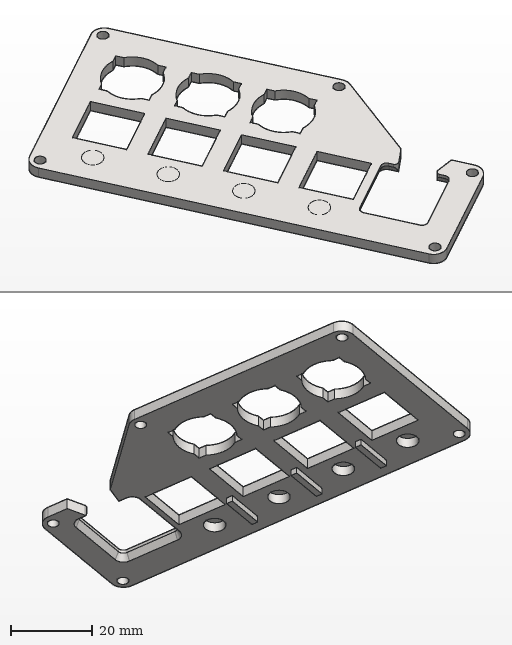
import cadquery as cq

length = 108.2
width = 54.7
thickness = 3.0
corner_radius = 3.5
arm_height = 34.9
diagonal_start_x = 65.3

cutout_left = 83.1
cutout_right = 100.7
cutout_bottom = 9.5
cutout_top = 28.9
cutout_radius = 1.5
mouth_left_outer = 85.8
mouth_left_inner = 87.1
mouth_right_inner = 96.4
mouth_right_outer = 98.9
lip_radius = 1.0
flare_height = 2.1
flare_offset = 1.0

hole_diameter = 2.9
corner_hole_inset = 2.9
top_hole_x = 64.0
top_hole_y = 52.0

column_pitch = 19.6
first_column_x = 14.8
lower_columns = 4
upper_columns = 3
lower_row_y = 20.4
upper_row_y = 39.0
square_opening = 14.1
round_opening_diameter = 15.7
round_opening_square = 13.0

pocket_y = 8.1
pocket_diameter = 5.5
pocket_skin = 0.26

rib_height = 1.7
rib_width = 1.7
rib_front_y = 4.8
rib_back_y = 15.4

column_xs = [first_column_x + i * column_pitch for i in range(lower_columns)]
lower_centers = [(x, lower_row_y) for x in column_xs]
upper_centers = [(x, upper_row_y) for x in column_xs[:upper_columns]]


def fillet_upright_edges(body, points, radius):
    """Round the vertical edges that stand at the given XY points."""
    for x, y in points:
        selector = cq.selectors.NearestToPointSelector((x, y, thickness / 2))
        body = body.edges("|Z").edges(selector).fillet(radius)
    return body


def make_plate():
    outer_corners = [(0, 0), (length, 0), (length, arm_height), (0, width)]
    diagonal_corner = (diagonal_start_x, width)
    cutout_corners = [
        (cutout_right, cutout_top),
        (cutout_right, cutout_bottom),
        (cutout_left, cutout_bottom),
        (cutout_left, cutout_top),
    ]
    left_lip = (mouth_left_inner, cutout_top)
    right_lip = (mouth_right_inner, cutout_top)
    outline = [
        *outer_corners[:3],
        (mouth_right_outer, arm_height),
        right_lip,
        *cutout_corners,
        left_lip,
        (mouth_left_outer, arm_height),
        diagonal_corner,
        outer_corners[3],
    ]
    plate = cq.Workplane("XY").polyline(outline).close().extrude(thickness)
    plate = fillet_upright_edges(plate, outer_corners + [diagonal_corner], corner_radius)
    plate = fillet_upright_edges(plate, cutout_corners, cutout_radius)
    return fillet_upright_edges(plate, [left_lip, right_lip], lip_radius)


def make_cutout_flare():
    """Rounded rectangle that grows from the cutout's size to a wider one at the underside."""
    cutout_width = cutout_right - cutout_left
    cutout_height = cutout_top - cutout_bottom
    narrow = cq.Sketch().rect(cutout_width, cutout_height).vertices().fillet(cutout_radius)
    wide = cq.Sketch().rect(cutout_width + 2 * flare_offset, cutout_height + 2 * flare_offset)
    wide = wide.vertices().fillet(cutout_radius + flare_offset)
    center_x = (cutout_left + cutout_right) / 2
    center_y = (cutout_bottom + cutout_top) / 2
    raised_narrow = narrow.moved(cq.Location(cq.Vector(0, 0, flare_height)))
    return cq.Workplane("XY").center(center_x, center_y).placeSketch(wide, raised_narrow).loft()


def make_screw_holes():
    right_x = length - corner_hole_inset
    points = [
        (corner_hole_inset, corner_hole_inset),
        (corner_hole_inset, width - corner_hole_inset),
        (right_x, corner_hole_inset),
        (right_x, arm_height - corner_hole_inset),
        (top_hole_x, top_hole_y),
    ]
    return cq.Workplane("XY").pushPoints(points).circle(hole_diameter / 2).extrude(thickness)


def make_square_openings():
    return cq.Workplane("XY").pushPoints(lower_centers).rect(square_opening, square_opening).extrude(thickness)


def make_round_openings():
    """Circles merged with squares whose corners stand out as notches."""
    layout = cq.Workplane("XY").pushPoints(upper_centers)
    circles = layout.circle(round_opening_diameter / 2).extrude(thickness)
    squares = layout.rect(round_opening_square, round_opening_square).extrude(thickness)
    return circles.union(squares)


def make_pockets():
    centers = [(x, pocket_y) for x in column_xs]
    return cq.Workplane("XY").pushPoints(centers).circle(pocket_diameter / 2).extrude(thickness - pocket_skin)


def make_ribs():
    rib_y = (rib_front_y + rib_back_y) / 2
    centers = [(x + column_pitch / 2, rib_y) for x in column_xs[:-1]]
    return cq.Workplane("XY").pushPoints(centers).rect(rib_width, rib_back_y - rib_front_y).extrude(-rib_height)


result = (
    make_plate()
    .cut(make_cutout_flare())
    .cut(make_screw_holes())
    .cut(make_square_openings())
    .cut(make_round_openings())
    .cut(make_pockets())
    .union(make_ribs())
)